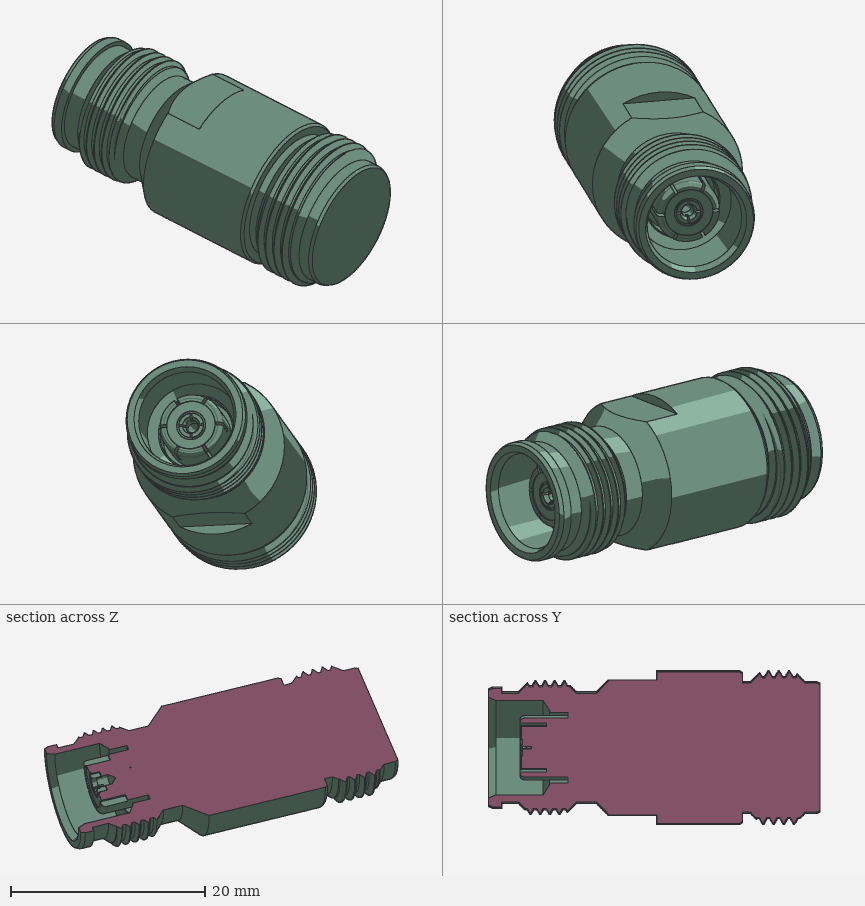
import cadquery as cq
import math


length = 34.22
body_radius = 7.95

collar_radius = 6.25
collar_edge_x = 0.45
collar_edge_drop = 0.2
collar_end = 1.4
front_neck_radius = 5.8

body_cone_start = 11.15
body_cone_end = body_cone_start + body_radius - front_neck_radius
body_end = 26.2
body_edge_length = 0.3
body_edge_drop = 0.2
flat_height = 6.98
flat_end = 17.35

rear_neck_radius = 6.8
rear_edge_length = 0.35
rear_edge_drop = 0.17

front_thread_start = 3.1
front_thread_end = 9.07
front_crest_radius = 6.9
front_root_radius = 6.45
front_pitch = 1.0
front_crest_x = 4.85

rear_thread_start = 27.05
rear_thread_end = 32.65
rear_crest_radius = body_radius
rear_root_radius = 7.32
rear_pitch = 1.05
rear_crest_x = 28.88

crest_flat = 0.1
flank_angle = math.radians(30)
ridge_embed = 0.07
spare_turns = 2
band_inner_radius = 5.4

mouth_radius = 5.35
mouth_depth = 0.8
socket_radius = 5.0
socket_depth = 5.65
socket_cone_length = 0.7
socket_cone_radius = 3.97
socket_floor_radius = 3.83
socket_floor = 8.2

ring_radius = 3.32
ring_inner_radius = 2.53
ring_lip_round = 0.48
ring_front = 3.25
ring_slot_count = 6
ring_slot_width = 0.3
ring_slot_depth = 2.75

insulator_front = 3.4
pin_gap_radius = 1.5
pin_gap_depth = 0.15
pin_radius = 1.3
pin_hole_radius = 0.9
pin_bore_radius = 0.65
pin_taper_depth = 0.5
pin_bore_depth = 1.7
pin_slot_count = 4
pin_slot_width = 0.2
pin_slot_depth = 1.03


def turned(points):
    """Revolve an (x, radius) outline around the X axis."""
    return cq.Workplane("XY").polyline(points).close().revolve(360, (0, 0, 0), (1, 0, 0))


def body_blank():
    return turned([
        (0, 0),
        (0, collar_radius - collar_edge_drop),
        (collar_edge_x, collar_radius),
        (collar_end, collar_radius),
        (collar_end, front_neck_radius),
        (body_cone_start, front_neck_radius),
        (body_cone_end, body_radius),
        (body_end - body_edge_length, body_radius),
        (body_end, body_radius - body_edge_drop),
        (body_end, rear_neck_radius),
        (length - rear_edge_length, rear_neck_radius),
        (length, rear_neck_radius - rear_edge_drop),
        (length, 0),
    ])


def wrench_flat(side):
    """Material to remove above (side = 1) or below (side = -1) the body."""
    height = body_radius - flat_height
    block = cq.Workplane("XY").box(flat_end - body_cone_start, 2 * body_radius, height)
    return block.translate(((flat_end + body_cone_start) / 2, 0, side * (flat_height + height / 2)))


def helical_prism(corners, pitch, turns):
    """Solid swept by a polygon of (radius, height) corners along a right-hand helix around Z."""
    edges = [
        cq.Wire.makeHelix(pitch, turns * pitch, radius, cq.Vector(0, 0, height))
        for radius, height in corners
    ]
    sides = [
        cq.Face.makeRuledSurface(edges[index - 1], edges[index])
        for index in range(len(edges))
    ]
    first_end = cq.Face.makeFromWires(
        cq.Wire.makePolygon([cq.Vector(radius, 0, height) for radius, height in corners], close=True)
    )
    last_end = first_end.translate(cq.Vector(0, 0, turns * pitch))
    shell = cq.Shell.makeShell([first_end, last_end] + sides)
    return cq.Workplane(cq.Solid.makeSolid(shell))


def thread_band(start, end, neck_radius, crest_radius, root_radius, pitch, first_crest_x):
    """Right-hand threaded ring with 45 degree ends; first_crest_x is where a crest passes +Z."""
    rise = crest_radius - neck_radius
    envelope = turned([
        (start, band_inner_radius),
        (start, neck_radius),
        (start + rise, crest_radius),
        (end - rise, crest_radius),
        (end, neck_radius),
        (end, band_inner_radius),
    ])
    turns = math.ceil((end - start) / pitch) + 2 * spare_turns
    ridge_start = first_crest_x - spare_turns * pitch
    ridge_base = root_radius - ridge_embed
    crest_half = crest_flat / 2
    base_half = crest_half + (crest_radius - ridge_base) * math.tan(flank_angle)
    ridge = helical_prism(
        [
            (ridge_base, -base_half),
            (crest_radius, -crest_half),
            (crest_radius, crest_half),
            (ridge_base, base_half),
        ],
        pitch,
        turns,
    )
    ridge = ridge.rotate((0, 0, 0), (0, 0, 1), 180).rotate((0, 0, 0), (0, 1, 0), 90)
    ridge = ridge.translate((ridge_start, 0, 0))
    core_start = ridge_start - pitch
    core = (
        cq.Workplane("YZ", origin=(core_start, 0, 0))
        .circle(root_radius)
        .circle(band_inner_radius)
        .extrude((turns + 2) * pitch)
    )
    return core.union(ridge).intersect(envelope)


def socket():
    """Cavity left around the contact ring, insulator and centre contact."""
    lip_radius = ring_radius - ring_lip_round
    lip_end = ring_front + ring_lip_round
    lip_offset = ring_lip_round * math.sin(math.radians(45))
    pin_gap_end = insulator_front + pin_gap_depth
    pin_bore_end = insulator_front + pin_bore_depth
    cone_end = socket_depth + socket_cone_length
    outline = (
        cq.Workplane("XY")
        .moveTo(0, 0)
        .lineTo(0, mouth_radius)
        .lineTo(mouth_depth, socket_radius)
        .lineTo(socket_depth, socket_radius)
        .lineTo(cone_end, socket_cone_radius)
        .lineTo(cone_end, socket_floor_radius)
        .lineTo(socket_floor, socket_floor_radius)
        .lineTo(socket_floor, ring_radius)
        .lineTo(lip_end, ring_radius)
        .threePointArc((lip_end - lip_offset, lip_radius + lip_offset), (ring_front, lip_radius))
        .lineTo(ring_front, ring_inner_radius)
        .lineTo(insulator_front, ring_inner_radius)
        .lineTo(insulator_front, pin_gap_radius)
        .lineTo(pin_gap_end, pin_gap_radius)
        .lineTo(pin_gap_end, pin_radius)
        .lineTo(insulator_front, pin_radius)
        .lineTo(insulator_front, pin_hole_radius)
        .lineTo(insulator_front + pin_taper_depth, pin_bore_radius)
        .lineTo(pin_bore_end, pin_bore_radius)
        .lineTo(pin_bore_end + pin_bore_radius, 0)
        .close()
    )
    return outline.revolve(360, (0, 0, 0), (1, 0, 0))


def radial_slots(count, width, inner, outer, front, depth):
    """Slots between two radii, evenly spaced around X and running back from the front face."""
    slots = cq.Workplane("XY")
    for index in range(count):
        slot = cq.Workplane("XY").box(depth, outer - inner, width)
        slot = slot.translate((front + depth / 2, (outer + inner) / 2, 0))
        slots = slots.add(slot.rotate((0, 0, 0), (1, 0, 0), index * 360 / count))
    return slots.combine()


result = body_blank()
for side in (1, -1):
    result = result.cut(wrench_flat(side))
result = result.cut(socket())
result = result.cut(radial_slots(
    ring_slot_count, ring_slot_width, ring_inner_radius, ring_radius,
    ring_front, ring_slot_depth,
))
result = result.cut(radial_slots(
    pin_slot_count, pin_slot_width, pin_bore_radius, pin_radius,
    insulator_front, pin_slot_depth,
))
result = result.union(thread_band(
    front_thread_start, front_thread_end, front_neck_radius,
    front_crest_radius, front_root_radius, front_pitch, front_crest_x,
))
result = result.union(thread_band(
    rear_thread_start, rear_thread_end, rear_neck_radius,
    rear_crest_radius, rear_root_radius, rear_pitch, rear_crest_x,
))